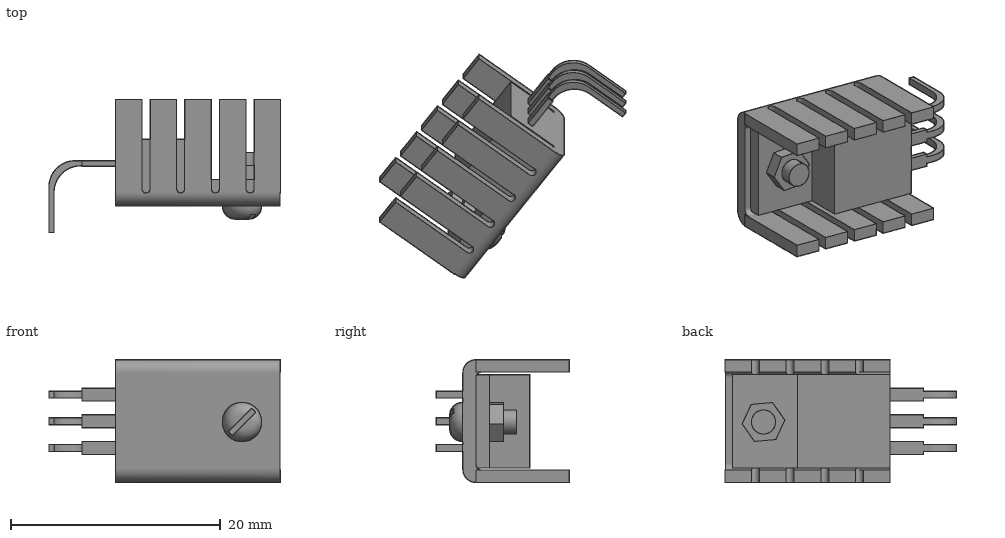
import cadquery as cq
import math


SINK_HEIGHT = 11.71
SINK_DEPTH = 10.17
FIN_THICKNESS = 1.2
PLATE_THICKNESS = 1.25
BEND_RADIUS = PLATE_THICKNESS
FIN_COUNT = 5
FIN_WIDTH = 2.55
LAST_FIN_OVERHANG = 0.07
SINK_LENGTH = 15.75
FIN_PITCH = (SINK_LENGTH - FIN_WIDTH) / (FIN_COUNT - 1)
SLOT_WIDTH = FIN_PITCH - FIN_WIDTH
PLATE_LENGTH = SINK_LENGTH - LAST_FIN_OVERHANG
INNER_FILLET = 0.55

PACKAGE_Z = -0.02
PACKAGE_HEIGHT = 8.9
CASE_LENGTH = 8.85
CASE_REAR_Y = 6.39
TAB_LENGTH = 15.03
TAB_THICKNESS = 1.28

LEAD_COUNT = 3
LEAD_PITCH = 2.55
LEAD_REACH = 6.35
LEAD_REAR_Y = 4.33
LEAD_TIP_Y = -2.55
LEAD_WIDTH = 0.69
LEAD_THICKNESS = 0.5
LEAD_BEND_RADIUS = 2.52
SHOULDER_LENGTH = 3.18
SHOULDER_WIDTH = 1.25
SHOULDER_THICKNESS = 0.55

SCREW_X = 12.07
SCREW_Z = -0.09
HEAD_HEIGHT = 1.25
HEAD_FLAT_RADIUS = 0.62
SHANK_RADIUS = 1.15
SHANK_END_Y = 5.1
NUT_WIDTH = 3.54
NUT_THICKNESS = 1.33
NUT_ANGLE = 5
DRIVE_SLOT_WIDTH = 0.55
DRIVE_SLOT_DEPTH = 0.45
DRIVE_SLOT_ANGLE = 45


def box(x_range, y_range, z_range):
    """Box spanning the given (low, high) ranges."""
    lows, highs = zip(x_range, y_range, z_range)
    size = [high - low for low, high in zip(lows, highs)]
    return cq.Workplane("XY").box(*size, centered=False).translate(lows)


def centered_range(center, width):
    """(low, high) range of the given width about a center."""
    return (center - width / 2, center + width / 2)


def make_inner_fillet():
    """Concave strip in the upper inside corner, running from mid first slot to the plate end."""
    start_x = FIN_WIDTH + SLOT_WIDTH / 2
    corner_z = SINK_HEIGHT / 2 - FIN_THICKNESS
    arc_mid = INNER_FILLET * (1 - math.sqrt(0.5))
    return (
        cq.Workplane("YZ", origin=(start_x, 0, 0))
        .moveTo(PLATE_THICKNESS, corner_z)
        .lineTo(PLATE_THICKNESS + INNER_FILLET, corner_z)
        .threePointArc(
            (PLATE_THICKNESS + arc_mid, corner_z - arc_mid),
            (PLATE_THICKNESS, corner_z - INNER_FILLET),
        )
        .close()
        .extrude(PLATE_LENGTH - start_x)
    )


def make_heat_sink():
    """U-shaped channel with a row of fins along its top and bottom."""
    sink = box((0, PLATE_LENGTH), (0, SINK_DEPTH), centered_range(0, SINK_HEIGHT))
    sink = sink.edges("|X and <Y").fillet(BEND_RADIUS)
    channel_height = SINK_HEIGHT - 2 * FIN_THICKNESS
    sink = sink.cut(
        box((0, PLATE_LENGTH), (PLATE_THICKNESS, SINK_DEPTH), centered_range(0, channel_height))
    )
    inner_fillet = make_inner_fillet()
    sink = sink.union(inner_fillet).union(inner_fillet.mirror("XY"))

    for side in (-1, 1):
        fin_z = side * (SINK_HEIGHT - FIN_THICKNESS) / 2
        sink = sink.union(
            box(
                (SINK_LENGTH - FIN_WIDTH, SINK_LENGTH),
                (PLATE_THICKNESS, SINK_DEPTH),
                centered_range(fin_z, FIN_THICKNESS),
            )
        )

    slot_radius = SLOT_WIDTH / 2
    round_y = PLATE_THICKNESS + slot_radius
    for index in range(1, FIN_COUNT):
        slot_x = index * FIN_PITCH - slot_radius
        slot = box(
            centered_range(slot_x, SLOT_WIDTH),
            (round_y, SINK_DEPTH),
            centered_range(0, SINK_HEIGHT),
        )
        slot_bottom = (
            cq.Workplane("XY", origin=(slot_x, round_y, -SINK_HEIGHT / 2))
            .circle(slot_radius)
            .extrude(SINK_HEIGHT)
        )
        sink = sink.cut(slot).cut(slot_bottom)
    return sink


def make_package():
    """Moulded case and mounting tab, seated on the plate."""
    z_range = centered_range(PACKAGE_Z, PACKAGE_HEIGHT)
    case = box((0, CASE_LENGTH), (PLATE_THICKNESS, CASE_REAR_Y), z_range)
    tab = box((0, TAB_LENGTH), (PLATE_THICKNESS, PLATE_THICKNESS + TAB_THICKNESS), z_range)
    return case.union(tab)


def make_lead(lead_z):
    """Wide shoulder at the case, then a narrow strip bent toward -Y.

    Both faces of the bend have the same radius.
    """
    shoulder = box(
        (-SHOULDER_LENGTH, 0),
        (LEAD_REAR_Y - SHOULDER_THICKNESS, LEAD_REAR_Y),
        centered_range(lead_z, SHOULDER_WIDTH),
    )
    outer_x = -LEAD_REACH
    inner_x = outer_x + LEAD_THICKNESS
    inner_y = LEAD_REAR_Y - LEAD_THICKNESS
    arc_mid = LEAD_BEND_RADIUS * (1 - math.sqrt(0.5))
    strip = (
        cq.Workplane("XY", origin=(0, 0, lead_z - LEAD_WIDTH / 2))
        .moveTo(-SHOULDER_LENGTH, LEAD_REAR_Y)
        .lineTo(outer_x + LEAD_BEND_RADIUS, LEAD_REAR_Y)
        .threePointArc(
            (outer_x + arc_mid, LEAD_REAR_Y - arc_mid),
            (outer_x, LEAD_REAR_Y - LEAD_BEND_RADIUS),
        )
        .lineTo(outer_x, LEAD_TIP_Y)
        .lineTo(inner_x, LEAD_TIP_Y)
        .lineTo(inner_x, inner_y - LEAD_BEND_RADIUS)
        .threePointArc(
            (inner_x + arc_mid, inner_y - arc_mid),
            (inner_x + LEAD_BEND_RADIUS, inner_y),
        )
        .lineTo(-SHOULDER_LENGTH, inner_y)
        .close()
        .extrude(LEAD_WIDTH)
    )
    return shoulder.union(strip)


def make_screw_head():
    """Domed head with a small flat crown and a slanted drive slot."""
    dome_mid = HEAD_HEIGHT * math.sqrt(0.5)
    head = (
        cq.Workplane("XY")
        .lineTo(HEAD_FLAT_RADIUS + HEAD_HEIGHT, 0)
        .threePointArc(
            (HEAD_FLAT_RADIUS + dome_mid, -dome_mid),
            (HEAD_FLAT_RADIUS, -HEAD_HEIGHT),
        )
        .lineTo(0, -HEAD_HEIGHT)
        .close()
        .revolve(360, (0, 0, 0), (0, 1, 0))
    )
    drive_slot = box(
        centered_range(0, 2 * (HEAD_FLAT_RADIUS + HEAD_HEIGHT)),
        (-HEAD_HEIGHT, DRIVE_SLOT_DEPTH - HEAD_HEIGHT),
        centered_range(0, DRIVE_SLOT_WIDTH),
    )
    drive_slot = drive_slot.rotate((0, 0, 0), (0, 1, 0), -DRIVE_SLOT_ANGLE)
    return head.cut(drive_slot).translate((SCREW_X, 0, SCREW_Z))


def make_shank():
    """Screw shank passing through the plate, the tab and the nut."""
    return cq.Workplane("XZ", origin=(SCREW_X, 0, SCREW_Z)).circle(SHANK_RADIUS).extrude(-SHANK_END_Y)


def make_nut():
    """Hexagon nut on the tab, turned slightly about the screw axis."""
    nut_y = PLATE_THICKNESS + TAB_THICKNESS
    corner_diameter = NUT_WIDTH / math.cos(math.pi / 6)
    nut = cq.Workplane("XZ").polygon(6, corner_diameter).extrude(-NUT_THICKNESS)
    return nut.rotate((0, 0, 0), (0, 1, 0), NUT_ANGLE).translate((SCREW_X, nut_y, SCREW_Z))


result = make_heat_sink().union(make_package())
for lead_index in range(LEAD_COUNT):
    lead_offset = (lead_index - (LEAD_COUNT - 1) / 2) * LEAD_PITCH
    result = result.union(make_lead(PACKAGE_Z + lead_offset))
result = result.union(make_screw_head()).union(make_shank()).union(make_nut())